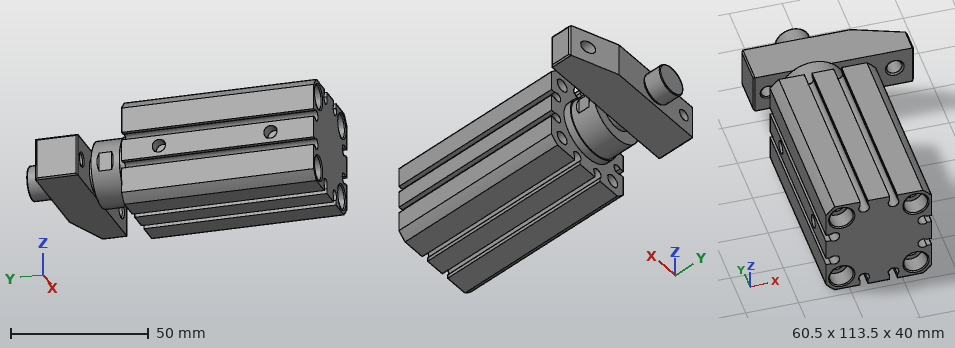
import cadquery as cq


tube_width = 40.0
tube_length = 73.1
corner_radius = 26.0
bolt_hole_pitch = 28.0
bolt_hole_diameter = 5.5
counterbore_diameter = 9.0
counterbore_depth = 7.0
counterbore_chamfer = 0.5
slot_offset = 5.6
slot_neck_width = 3.0
slot_diameter = 4.0
slot_center_depth = 3.2
port_diameter = 5.0
port_depth = 5.0
port_positions = (16.5, 58.9)

flange_diameter = 26.0
flange_length = 3.1
cover_diameter = 25
cover_length = 10.9
wrench_flat_spacing = 24.0
wrench_flat_width = 4.8
wrench_flat_center = 5.6
wrench_flat_flare = 1.4

rod_diameter = 14.0
rod_exposed_length = 2.4

arm_section = 16.0
arm_back = 21.5
arm_reach = 39.0
arm_slope_start = 19.9
arm_tip_length = 9.0
arm_chamfer = 0.6
tip_hole_diameter = 5.8
tip_hole_mouth = 7.0
tip_hole_inset = 7.2
back_hole_diameter = 4.8
back_hole_mouth = 5.7
back_hole_inset = 5.3

head_diameter = 13.0
shank_diameter = 8
shank_engagement = 8
head_edge_chamfer = 0.3
seat_chamfer_length = 0.7
seat_chamfer_width = 0.5

flange_end = tube_length + flange_length
cover_end = flange_end + cover_length
arm_start = cover_end + rod_exposed_length
arm_end = arm_start + arm_section
total_length = 113.5


def cylinder(diameter, start, end, x=0, z=0):
    """Round bar along Y between two stations."""
    direction = cq.Vector(0, 1, 0)
    return cq.Workplane(cq.Solid.makeCylinder(diameter / 2, end - start, cq.Vector(x, start, z), direction))


def mouth_cone(hole_diameter, mouth_diameter, start, x=0, z=0):
    """45 degree chamfer of a hole that opens toward -Y."""
    depth = (mouth_diameter - hole_diameter) / 2
    base = cq.Vector(x, start, z)
    direction = cq.Vector(0, 1, 0)
    return cq.Workplane(cq.Solid.makeCone(mouth_diameter / 2, hole_diameter / 2, depth, base, direction))


def make_slot():
    """Keyhole-shaped sensor slot in the +Z face, along the whole tube."""
    center_height = tube_width / 2 - slot_center_depth
    neck = cq.Workplane().box(slot_neck_width, tube_length, slot_center_depth, centered=(True, False, False))
    neck = neck.translate((slot_offset, 0, center_height))
    return neck.union(cylinder(slot_diameter, 0, tube_length, slot_offset, center_height))


def make_tube():
    body = cq.Workplane().box(tube_width, tube_length, tube_width, centered=(True, False, True))
    body = body.intersect(cylinder(2 * corner_radius, 0, tube_length))

    slot = make_slot()
    slot_pair = slot.union(slot.mirror("YZ"))
    for side in range(4):
        body = body.cut(slot_pair.rotate((0, 0, 0), (0, 1, 0), 90 * side))

    mouth_diameter = counterbore_diameter + 2 * counterbore_chamfer
    for x in (-bolt_hole_pitch / 2, bolt_hole_pitch / 2):
        for z in (-bolt_hole_pitch / 2, bolt_hole_pitch / 2):
            body = body.cut(cylinder(bolt_hole_diameter, 0, tube_length, x, z))
            body = body.cut(cylinder(counterbore_diameter, 0, counterbore_depth, x, z))
            body = body.cut(mouth_cone(counterbore_diameter, mouth_diameter, 0, x, z))

    ports = (
        cq.Workplane("YZ", origin=(-tube_width / 2, 0, 0))
        .pushPoints([(y, 0) for y in port_positions])
        .circle(port_diameter / 2)
        .extrude(port_depth)
    )
    return body.cut(ports)


def make_wrench_flat():
    """Cutter for the +X wrench flat, with flared end walls."""
    flat_x = wrench_flat_spacing / 2
    depth = cover_diameter / 2 - flat_x
    floor_half = wrench_flat_width / 2
    mouth_half = floor_half + depth * wrench_flat_flare
    outline = [
        (flat_x, -floor_half),
        (flat_x + depth, -mouth_half),
        (flat_x + depth, mouth_half),
        (flat_x, floor_half),
    ]
    cutter = cq.Workplane("XY").polyline(outline).close().extrude(cover_diameter / 2, both=True)
    return cutter.translate((0, flange_end + wrench_flat_center, 0))


def make_rod_cover():
    body = cylinder(flange_diameter, tube_length, flange_end)
    body = body.union(cylinder(cover_diameter, flange_end, cover_end))
    body = body.cut(cylinder(rod_diameter, tube_length, cover_end))
    flat = make_wrench_flat()
    return body.cut(flat).cut(flat.mirror("YZ"))


def make_rod():
    body = cylinder(rod_diameter, tube_length, arm_start)
    return body.cut(cylinder(shank_diameter, arm_start - shank_engagement, arm_start))


def make_arm():
    outline = [
        (-arm_back, arm_start),
        (arm_reach, arm_start),
        (arm_reach, arm_start + arm_tip_length),
        (arm_slope_start, arm_end),
        (-arm_back, arm_end),
    ]
    body = cq.Workplane("XY").polyline(outline).close().extrude(arm_section / 2, both=True)
    body = body.faces("<X or >X").edges().chamfer(arm_chamfer)

    body = body.cut(cylinder(shank_diameter, arm_start, arm_end))
    holes = (
        (arm_reach - tip_hole_inset, tip_hole_diameter, tip_hole_mouth),
        (back_hole_inset - arm_back, back_hole_diameter, back_hole_mouth),
    )
    for x, diameter, mouth in holes:
        body = body.cut(cylinder(diameter, arm_start, arm_end, x))
        body = body.cut(mouth_cone(diameter, mouth, arm_start, x))
    return body


def make_bolt():
    radius = head_diameter / 2
    half_profile = [
        (0, arm_end),
        (radius - seat_chamfer_width, arm_end),
        (radius, arm_end + seat_chamfer_length),
        (radius, total_length - head_edge_chamfer),
        (radius - head_edge_chamfer, total_length),
        (0, total_length),
    ]
    head = cq.Workplane("XY").polyline(half_profile).close().revolve(360, (0, 0, 0), (0, 1, 0))
    return head.union(cylinder(shank_diameter, arm_start - shank_engagement, arm_end))


tube = make_tube()
rod_cover = make_rod_cover()
rod = make_rod()
arm = make_arm()
bolt = make_bolt()

result = cq.Compound.makeCompound([tube.val(), rod_cover.val(), rod.val(), arm.val(), bolt.val()])